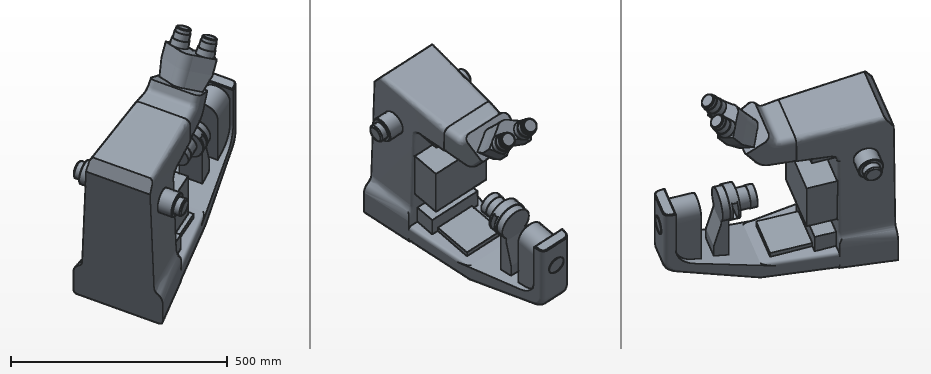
import cadquery as cq
import math


THROAT_Y = 136.0
ARM_END_Y = 233.0
BACK_TOP_Y = 21.0
BACK_TOP_Z = 430.0
COLUMN_TOP_Z = 461.0
ARM_END_TOP_Z = 450.5
ARM_END_UNDER_Z = 375.0
ARM_ROOT_UNDER_Z = 366.5
THROAT_CORNER_R = 17.0
THROAT_EDGE_R = 8.0
FLARE_TOP_Z = 118.0
FLARE_MIDDLE_Z = 97.5
FLARE_BOTTOM_Z = 74.0
BACK_SECTION_TOP_Z = 462.0
BACK_WAIST_HALF = 92.5
BACK_SHOULDER_HALF = 81.5
BACK_SHOULDER_R = 10.0
ARM_WAIST_HALF = 80.5
ARM_SHOULDER_R = 16.0
FOOT_EDGE_R = 10.0
FLARE_BOW = 0.1

BASE_BACK_HALF = 114.5
FRONT_HALF = 39.5
BASE_START_Y = 125.0
BEND_Y = 318.0
FRONT_Y = 544.5
FRONT_INNER_Y = 516.0
FRONT_TOP_Z = 264.0
FLOOR_BACK_Z = 54.5
FLOOR_BEND_Z = 50.5
FRONT_FLOOR_Z = 97.5
FRONT_UNDER_Z = 68.5
INNER_BEND_R = 53.5
OUTER_BEND_R = 39.5
OUTER_EDGE_R = 15.0
INNER_EDGE_R = 8.5
FRONT_TOP_CHAMFER = 2.0
FRONT_BADGE_Z = 193.0
FRONT_BADGE_R = 22.0
FRONT_BADGE_THICKNESS = 1.5

LAMP_Y = 452.0
LAMP_BACK_Y = 522.0
LAMP_R = 35.0
LAMP_FOOT_Z = 71.0
LAMP_AXIS_Z = 220.5
OPTIC_AXIS_Z = 215.0
DISC_BACK_Y = 402.0
DISC_FRONT_Y = 383.5
DISC_R = 41.0
RING_FRONT_Y = 359.0
RING_R = 43.0
LENS_STEP_Y = 329.5
LENS_END_Y = 312.5
LENS_R = 26.5
LENS_RIM_R = 28.0
SLOT_START_Y = 364.0
SLOT_END_Y = 377.0
POST_HALF = 29.5
POST_FOOT_Y = 420.5
POST_FOOT_Z = 108.0
POST_NECK_Z = 177.0
NOSEPIECE_HALF = 60.0
NOSEPIECE_Y = 192.0
NOSEPIECE_UNDER_Z = 346.0
STAGE_HALF = 77.0
STAGE_Y = 210.5
STAGE_UNDER_Z = 154.0
STAGE_TOP_Z = 283.5
DRIVE_HALF = 69.0
DRIVE_Y = 188.5
DRIVE_TOP_Z = 102.0
PLATE_HALF = 52.0
PLATE_Y = 291.0
PLATE_TOP_Z = 64.0
FOOT_PIN_Y = 256.5
FOOT_PIN_R = 14.0
FOOT_PIN_LENGTH = 20.0
EMBED = 22.5

TILT = 35.0
FACE_LOW_Y = 353.0
FACE_LOW_Z = 427.5
FACE_LENGTH = 72.5
NECK_BACK_HALF = 71.5
NECK_FACE_HALF = 59.0
NECK_TOP_EDGE_R = 16.0
NECK_UNDER_EDGE_R = 8.0
NECK_CREST_R = 17.0
NECK_UNDER_R = 39.5
NECK_CREST_Y = 276.0
NECK_CREST_Z = 447.5

HEAD_MIDDLE = 42.5
HEAD_TOP = 81.5
HEAD_NOTCH = 7.5
HEAD_RIDGE_HALF = 19.0
UPPER_HALF = 66.0
UPPER_CORNER = 17.5
UPPER_FRONT_HALF = 37.0
UPPER_FRONT = -17.0
UPPER_RIDGE = 49.0
UPPER_TIP = 57.0
LOWER_HALF = 55.5
LOWER_CORNER = 26.5
LOWER_FRONT_HALF = 31.0
LOWER_FRONT = -7.0
LOWER_RIDGE = 50.5
LOWER_TIP = 58.5
EYE_BASE_R = 22.5
EYE_BASE_TOP_R = 21.0
EYE_TUBE_R = 19.5
EYE_CAP_R = 17.5
EYE_BASE_LENGTH = 16.5
EYE_TUBE_TOP = 33.5
EYE_TOP = 45.0
EYE_CAP_CHAMFER = 2.0
EYE_X = 33.5
EYE_OFFSET = 12.5

KNOB_Y = 67.5
KNOB_Z = 345.5
KNOB_ROOT_X = 74.0
COARSE_END_X = 119.5
COARSE_R = 30.0
FINE_END_X = 138.5
FINE_R = 21.5
COARSE_CHAMFER = 1.5
FINE_CHAMFER = 3.5


def side_extrusion(outline, half_width):
    """Extrude a closed YZ outline symmetrically about X = 0."""
    return outline.extrude(half_width, both=True)


def block(half_x, y_min, y_max, z_min, z_max):
    """Box centred on X = 0."""
    size = (2 * half_x, y_max - y_min, z_max - z_min)
    return cq.Workplane("XY").box(*size, centered=(True, False, False)).translate((0, y_min, z_min))


def near(x, y, z):
    """Selector of the edge whose centre is nearest to a point."""
    return cq.selectors.NearestToPointSelector((x, y, z))


def round_mirrored_edges(solid, points, radius):
    """Round the edges nearest to the points and to their mirror images across X = 0."""
    edges = [solid.edges(near(side * x, y, z)).val() for x, y, z in points for side in (-1, 1)]
    return solid.newObject(edges).fillet(radius)


def y_cylinder(radius, y_min, y_max, z):
    """Cylinder along Y on the symmetry plane."""
    return cq.Workplane("XZ", origin=(0, y_max, z)).circle(radius).extrude(y_max - y_min)


def half_width_at(y):
    """Half width of the base, which narrows evenly from back to front."""
    return BASE_BACK_HALF - (BASE_BACK_HALF - FRONT_HALF) * y / FRONT_Y


def column_section(plane, base_half, waist_half, shoulder_half, top_z, shoulder_r):
    """Closed XZ section: wide foot, S-shaped flare, leaning sides and rounded shoulders."""
    flare_half = (base_half + waist_half) / 2
    arc_inset = 1 - math.sqrt(0.5)
    right = [
        (base_half, FOOT_EDGE_R),
        (base_half, FLARE_BOTTOM_Z),
        (flare_half, FLARE_MIDDLE_Z),
        (waist_half, FLARE_TOP_Z),
        (shoulder_half, top_z - shoulder_r),
        (shoulder_half - shoulder_r, top_z),
    ]
    left = [(-x, z) for x, z in reversed(right)]
    bow = (base_half - waist_half) * FLARE_BOW
    foot_mid = (base_half - FOOT_EDGE_R * arc_inset, FOOT_EDGE_R * arc_inset)
    top_mid = (shoulder_half - shoulder_r * arc_inset, top_z - shoulder_r * arc_inset)
    lower_mid = ((base_half + flare_half) / 2 + bow, (FLARE_BOTTOM_Z + FLARE_MIDDLE_Z) / 2 + bow)
    upper_mid = ((waist_half + flare_half) / 2 - bow, (FLARE_TOP_Z + FLARE_MIDDLE_Z) / 2 - bow)

    def mirrored(point):
        return (-point[0], point[1])

    return (
        plane.moveTo(-(base_half - FOOT_EDGE_R), 0)
        .lineTo(base_half - FOOT_EDGE_R, 0)
        .threePointArc(foot_mid, right[0])
        .lineTo(*right[1])
        .threePointArc(lower_mid, right[2])
        .threePointArc(upper_mid, right[3])
        .lineTo(*right[4])
        .threePointArc(top_mid, right[5])
        .lineTo(*left[0])
        .threePointArc(mirrored(top_mid), left[1])
        .lineTo(*left[2])
        .threePointArc(mirrored(upper_mid), left[3])
        .threePointArc(mirrored(lower_mid), left[4])
        .lineTo(*left[5])
        .threePointArc(mirrored(foot_mid), (-(base_half - FOOT_EDGE_R), 0))
        .close()
    )


def make_column():
    end_half = half_width_at(ARM_END_Y)
    back = column_section(
        cq.Workplane("XZ"), BASE_BACK_HALF, BACK_WAIST_HALF, BACK_SHOULDER_HALF,
        BACK_SECTION_TOP_Z, BACK_SHOULDER_R
    )
    arm_plane = back.workplane(offset=-ARM_END_Y)
    both_sections = column_section(
        arm_plane, end_half, ARM_WAIST_HALF, NECK_BACK_HALF, ARM_END_TOP_Z, ARM_SHOULDER_R
    )
    envelope = both_sections.loft(ruled=True)
    outline = (
        cq.Workplane("YZ")
        .polyline([
            (0, 0),
            (THROAT_Y, 0),
            (THROAT_Y, ARM_ROOT_UNDER_Z),
            (ARM_END_Y, ARM_END_UNDER_Z),
            (ARM_END_Y, ARM_END_TOP_Z),
            (BACK_TOP_Y, COLUMN_TOP_Z),
            (0, BACK_TOP_Z),
        ])
        .close()
    )
    profile = side_extrusion(outline, BASE_BACK_HALF)
    throat_corner = near(0, THROAT_Y, ARM_ROOT_UNDER_Z)
    profile = profile.edges("|X").edges(throat_corner).fillet(THROAT_CORNER_R)
    column = envelope.intersect(profile)
    throat_side = (end_half, THROAT_Y, (FLARE_TOP_Z + ARM_ROOT_UNDER_Z) / 2)
    return round_mirrored_edges(column, [throat_side], THROAT_EDGE_R)


def make_base():
    outline = (
        cq.Workplane("YZ")
        .polyline([
            (BASE_START_Y, 0),
            (BEND_Y, 0),
            (FRONT_Y, FRONT_UNDER_Z),
            (FRONT_Y, FRONT_TOP_Z),
            (FRONT_INNER_Y, FRONT_TOP_Z),
            (FRONT_INNER_Y, FRONT_FLOOR_Z),
            (BEND_Y, FLOOR_BEND_Z),
            (BASE_START_Y, FLOOR_BACK_Z),
        ])
        .close()
    )
    profile = side_extrusion(outline, BASE_BACK_HALF)
    for y, z, radius in (
        (FRONT_Y, FRONT_UNDER_Z, OUTER_BEND_R),
        (FRONT_INNER_Y, FRONT_FLOOR_Z, INNER_BEND_R),
    ):
        corner = near(0, y, z)
        profile = profile.edges("|X").edges(corner).fillet(radius)
    plan = (
        cq.Workplane("XY")
        .polyline([
            (-half_width_at(BASE_START_Y), BASE_START_Y),
            (half_width_at(BASE_START_Y), BASE_START_Y),
            (half_width_at(FRONT_Y), FRONT_Y),
            (-half_width_at(FRONT_Y), FRONT_Y),
        ])
        .close()
        .extrude(FRONT_TOP_Z)
    )
    base = profile.intersect(plan)
    back_mid_y = (BASE_START_Y + BEND_Y) / 2
    slope_mid_y = (BEND_Y + FRONT_Y) / 2
    under = (half_width_at(back_mid_y), back_mid_y, 0)
    sloping_under = (half_width_at(slope_mid_y), slope_mid_y, FRONT_UNDER_Z / 2)
    floor = (half_width_at(back_mid_y), back_mid_y, FLOOR_BACK_Z)
    sloping_floor = (half_width_at(slope_mid_y), slope_mid_y, (FLOOR_BEND_Z + FRONT_FLOOR_Z) / 2)
    base = round_mirrored_edges(base, [under, sloping_under], OUTER_EDGE_R)
    base = round_mirrored_edges(base, [floor, sloping_floor], INNER_EDGE_R)
    return base.faces(">Z").edges().chamfer(FRONT_TOP_CHAMFER)


def make_badge():
    return y_cylinder(FRONT_BADGE_R, FRONT_INNER_Y, FRONT_Y + FRONT_BADGE_THICKNESS, FRONT_BADGE_Z)


def make_lamp_house():
    arch = y_cylinder(LAMP_R, LAMP_Y, LAMP_BACK_Y, LAMP_AXIS_Z)
    return arch.union(block(LAMP_R, LAMP_Y, LAMP_BACK_Y, LAMP_FOOT_Z, LAMP_AXIS_Z))


def make_condenser():
    disc = y_cylinder(DISC_R, DISC_FRONT_Y, DISC_BACK_Y, OPTIC_AXIS_Z)
    ring = y_cylinder(RING_R, RING_FRONT_Y, DISC_FRONT_Y, OPTIC_AXIS_Z)
    lens = y_cylinder(LENS_R, LENS_STEP_Y, RING_FRONT_Y, OPTIC_AXIS_Z)
    rim = y_cylinder(LENS_RIM_R, LENS_END_Y, LENS_STEP_Y, OPTIC_AXIS_Z)
    slot = block(RING_R, SLOT_START_Y, SLOT_END_Y, OPTIC_AXIS_Z - LENS_R, OPTIC_AXIS_Z + LENS_R)
    post_outline = (
        cq.Workplane("YZ")
        .polyline([
            (DISC_FRONT_Y, FLOOR_BEND_Z),
            (POST_FOOT_Y, FLOOR_BEND_Z),
            (POST_FOOT_Y, POST_FOOT_Z),
            (DISC_BACK_Y, POST_NECK_Z),
            (DISC_BACK_Y, OPTIC_AXIS_Z),
            (DISC_FRONT_Y, OPTIC_AXIS_Z),
        ])
        .close()
    )
    post = side_extrusion(post_outline, POST_HALF)
    return disc.union(ring.cut(slot)).union(lens).union(rim).union(post)


def make_throat_blocks():
    root_y = THROAT_Y - EMBED
    floor_z = FLOOR_BEND_Z - EMBED
    nosepiece_top_z = ARM_ROOT_UNDER_Z + EMBED
    nosepiece = block(NOSEPIECE_HALF, root_y, NOSEPIECE_Y, NOSEPIECE_UNDER_Z, nosepiece_top_z)
    stage = block(STAGE_HALF, root_y, STAGE_Y, STAGE_UNDER_Z, STAGE_TOP_Z)
    drive_box = block(DRIVE_HALF, root_y, DRIVE_Y, floor_z, DRIVE_TOP_Z)
    floor_plate = block(PLATE_HALF, root_y, PLATE_Y, floor_z, PLATE_TOP_Z)
    return nosepiece.union(stage).union(drive_box).union(floor_plate)


def make_foot_pin():
    return (
        cq.Workplane("XY", origin=(0, FOOT_PIN_Y, -FOOT_PIN_LENGTH))
        .circle(FOOT_PIN_R)
        .extrude(FOOT_PIN_LENGTH + EMBED)
    )


def make_stand():
    stand = make_column().union(make_base())
    for fixture in (
        make_badge(),
        make_lamp_house(),
        make_condenser(),
        make_throat_blocks(),
        make_foot_pin(),
    ):
        stand = stand.union(fixture)
    return stand


def face_plane(distance):
    """Plane parallel to the neck's end face; local x is -X and local y runs up the slope."""
    tilt = math.radians(TILT)
    axis = (0, math.sin(tilt), math.cos(tilt))
    origin = (0, FACE_LOW_Y + distance * axis[1], FACE_LOW_Z + distance * axis[2])
    return cq.Plane(origin=origin, xDir=(-1, 0, 0), normal=axis)


def make_neck():
    tilt = math.radians(TILT)
    face_high_y = FACE_LOW_Y - FACE_LENGTH * math.cos(tilt)
    face_high_z = FACE_LOW_Z + FACE_LENGTH * math.sin(tilt)
    under_y = FACE_LOW_Y - (FACE_LOW_Z - ARM_END_UNDER_Z) * math.tan(tilt)
    outline = (
        cq.Workplane("YZ")
        .polyline([
            (ARM_END_Y, ARM_END_UNDER_Z),
            (under_y, ARM_END_UNDER_Z),
            (FACE_LOW_Y, FACE_LOW_Z),
            (face_high_y, face_high_z),
            (NECK_CREST_Y, NECK_CREST_Z),
            (ARM_END_Y, ARM_END_TOP_Z),
        ])
        .close()
    )
    profile = side_extrusion(outline, NECK_BACK_HALF)
    under_corner = near(0, under_y, ARM_END_UNDER_Z)
    profile = profile.edges("|X").edges(under_corner).fillet(NECK_UNDER_R)
    crest = near(0, NECK_CREST_Y, NECK_CREST_Z)
    profile = profile.edges("|X").edges(crest).fillet(NECK_CREST_R)
    plan = (
        cq.Workplane("XY")
        .polyline([
            (-NECK_BACK_HALF, ARM_END_Y),
            (NECK_BACK_HALF, ARM_END_Y),
            (NECK_FACE_HALF, FACE_LOW_Y),
            (-NECK_FACE_HALF, FACE_LOW_Y),
        ])
        .close()
        .extrude(COLUMN_TOP_Z + FACE_LENGTH)
    )
    neck = profile.intersect(plan)
    root_mid_y = (ARM_END_Y + NECK_CREST_Y) / 2
    neck = round_mirrored_edges(neck, [(NECK_BACK_HALF, root_mid_y, ARM_END_TOP_Z)], NECK_TOP_EDGE_R)
    return round_mirrored_edges(neck, [(NECK_BACK_HALF, root_mid_y, ARM_END_UNDER_Z)], NECK_UNDER_EDGE_R)


def head_section(distance, half, corner, front_half, front, ridge, tip):
    """Head outline across its axis: notched toward the front, rounded ridge toward the back."""
    return (
        cq.Workplane(face_plane(distance))
        .moveTo(0, HEAD_NOTCH)
        .lineTo(front_half, front)
        .lineTo(half, corner)
        .lineTo(HEAD_RIDGE_HALF, ridge)
        .threePointArc((0, tip), (-HEAD_RIDGE_HALF, ridge))
        .lineTo(-half, corner)
        .lineTo(-front_half, front)
        .close()
    )


def make_head():
    upper = head_section(
        HEAD_MIDDLE, UPPER_HALF, UPPER_CORNER, UPPER_FRONT_HALF, UPPER_FRONT, UPPER_RIDGE, UPPER_TIP
    )
    lower = head_section(0, LOWER_HALF, LOWER_CORNER, LOWER_FRONT_HALF, LOWER_FRONT, LOWER_RIDGE, LOWER_TIP)
    foot = cq.Workplane(cq.Solid.makeLoft([lower.val(), upper.val()], True))
    return upper.extrude(HEAD_TOP - HEAD_MIDDLE).union(foot)


def make_eyepiece(x):
    """Stepped tube standing on the top of the head, along the tilted axis."""
    profile = [
        (0, 0),
        (EYE_BASE_R, 0),
        (EYE_BASE_TOP_R, EYE_BASE_LENGTH),
        (EYE_TUBE_R, EYE_BASE_LENGTH),
        (EYE_TUBE_R, EYE_TUBE_TOP),
        (EYE_CAP_R, EYE_TUBE_TOP),
        (EYE_CAP_R, EYE_TOP - EYE_CAP_CHAMFER),
        (EYE_CAP_R - EYE_CAP_CHAMFER, EYE_TOP),
        (0, EYE_TOP),
    ]
    plane = face_plane(HEAD_TOP)
    centre = plane.toWorldCoords((x, EYE_OFFSET, 0))
    section = cq.Plane(origin=centre, xDir=(1, 0, 0), normal=plane.yDir)
    return cq.Workplane(section).polyline(profile).close().revolve(360, (0, 0, 0), (0, 1, 0))


def make_knob(side, stand):
    """Coarse and fine focus drum in one piece, ending flush on the side of the column."""
    coarse = (
        cq.Workplane("YZ", origin=(KNOB_ROOT_X, KNOB_Y, KNOB_Z))
        .circle(COARSE_R)
        .extrude(COARSE_END_X - KNOB_ROOT_X)
        .faces(">X")
        .chamfer(COARSE_CHAMFER)
    )
    fine = (
        cq.Workplane("YZ", origin=(COARSE_END_X, KNOB_Y, KNOB_Z))
        .circle(FINE_R)
        .extrude(FINE_END_X - COARSE_END_X)
        .faces(">X")
        .chamfer(FINE_CHAMFER)
    )
    knob = coarse.union(fine)
    if side < 0:
        knob = knob.mirror("YZ")
    return knob.cut(stand)


stand = make_stand()
neck = make_neck()
head = make_head()
eyepieces = [make_eyepiece(side * EYE_X) for side in (-1, 1)]
knobs = [make_knob(side, stand) for side in (-1, 1)]

result = cq.Compound.makeCompound(
    [body.val() for body in [stand, neck, head, *eyepieces, *knobs]]
)